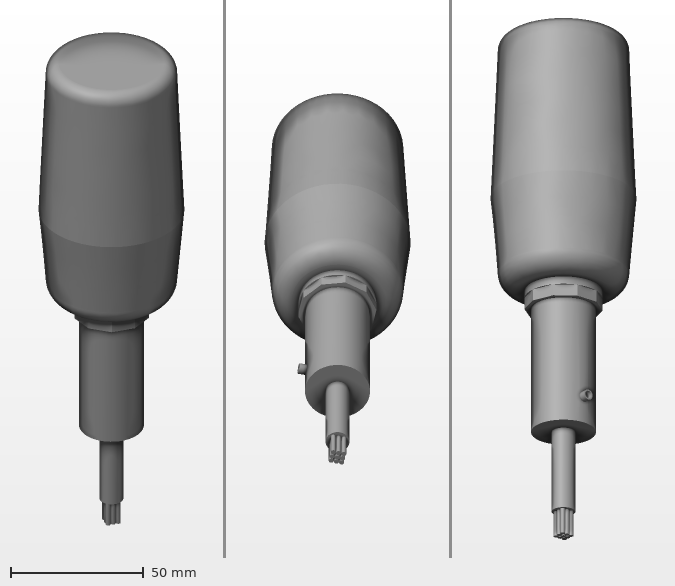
import cadquery as cq
import math

prong_length = 10.0
sleeve_bottom = 42.5
stub_height = 53.0
grip_bottom = 92.5
grip_top = 97.0
handle_bottom = 100.0
belly_height = 138.0
handle_top = 203.0

belly_radius = 27.5
shoulder_radius = 24.8
top_rounding = 4.8
bottom_rounding = 7.5

sleeve_diameter = 24.5
collar_diameter = 29.5
grip_diameter = collar_diameter
grip_side_count = 10
stub_diameter = 4.0
stub_hole_diameter = 3.0
stub_hole_depth = 4.0
stub_reach = 15.0

shaft_diameter = 9.0
prong_diameter = 1.9
prong_pitch = 2.0
prongs_per_side = 3


def cylinder(diameter, bottom, top):
    """Upright cylinder on the tool axis between two heights."""
    return cq.Workplane("XY").workplane(offset=bottom).circle(diameter / 2).extrude(top - bottom)


def make_handle():
    """Double-tapered grip, widest at the belly, with rounded ends."""
    diagonal = math.sqrt(0.5)
    bottom_face_radius = shoulder_radius - bottom_rounding
    bottom_shoulder = handle_bottom + bottom_rounding
    bottom_arc_middle = (
        bottom_face_radius + bottom_rounding * diagonal,
        bottom_shoulder - bottom_rounding * diagonal,
    )
    top_face_radius = shoulder_radius - top_rounding
    top_shoulder = handle_top - top_rounding
    top_arc_middle = (
        top_face_radius + top_rounding * diagonal,
        top_shoulder + top_rounding * diagonal,
    )
    profile = (
        cq.Workplane("XZ")
        .moveTo(0, handle_bottom)
        .lineTo(bottom_face_radius, handle_bottom)
        .threePointArc(bottom_arc_middle, (shoulder_radius, bottom_shoulder))
        .lineTo(belly_radius, belly_height)
        .lineTo(shoulder_radius, top_shoulder)
        .threePointArc(top_arc_middle, (top_face_radius, handle_top))
        .lineTo(0, handle_top)
        .close()
    )
    return profile.revolve(360, (0, 0, 0), (0, 1, 0))


def make_sleeve():
    """Tube around the shaft, with a ten-sided ring and a collar on top and a hollow stub on -X."""
    barrel = cylinder(sleeve_diameter, sleeve_bottom, grip_bottom)
    grip_ring = (
        cq.Workplane("XY")
        .workplane(offset=grip_bottom)
        .transformed(rotate=(0, 0, 90))
        .polygon(grip_side_count, grip_diameter)
        .extrude(grip_top - grip_bottom)
    )
    collar = cylinder(collar_diameter, grip_top, handle_bottom)
    stub_end = cq.Workplane("YZ").workplane(offset=-stub_reach).center(0, stub_height)
    stub = stub_end.circle(stub_diameter / 2).extrude(stub_reach - shaft_diameter / 2)
    stub_hole = stub_end.circle(stub_hole_diameter / 2).extrude(stub_hole_depth)
    bore = cylinder(shaft_diameter, sleeve_bottom, handle_bottom)
    return barrel.union(grip_ring).union(collar).union(stub).cut(stub_hole).cut(bore)


def make_blade():
    """Round shaft that fills the sleeve bore, with the prongs below it."""
    shaft = cylinder(shaft_diameter, prong_length, handle_bottom)
    prongs = (
        cq.Workplane("XY")
        .rarray(prong_pitch, prong_pitch, prongs_per_side, prongs_per_side)
        .circle(prong_diameter / 2)
        .extrude(prong_length)
    )
    return shaft.union(prongs)


handle = make_handle()
sleeve = make_sleeve()
blade = make_blade()

result = cq.Compound.makeCompound([handle.val(), sleeve.val(), blade.val()])